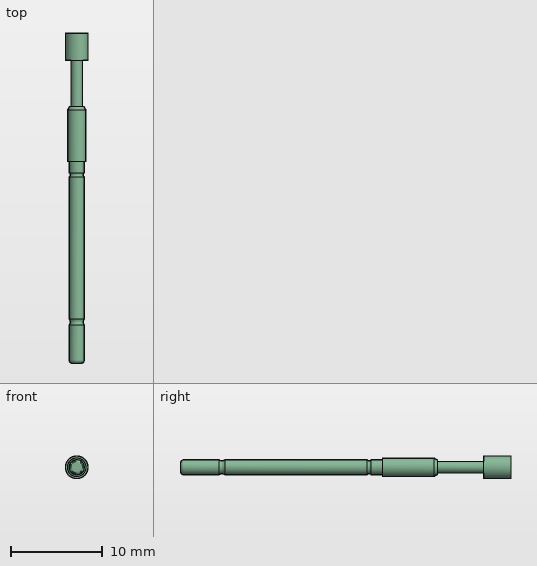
import cadquery as cq

total_length = 36.0
head_diameter = 2.5
head_length = 3.0
stem_diameter = 1.25
collar_diameter = 2.0
collar_start = 8.0
collar_end = 14.0
collar_chamfer_length = 0.4
collar_chamfer_depth = 0.2
barrel_diameter = 1.65
tip_fillet = 0.35

upper_groove = (15.45, 0.45, 0.1)
lower_groove = (31.5, 0.65, 0.1)

head_face_y = total_length / 2


def cylinder(diameter, start, end):
    """Cylinder on the probe axis between two distances from the head face."""
    base = cq.Workplane("XZ", origin=(0, head_face_y - start, 0))
    return base.circle(diameter / 2).extrude(end - start)


def collar():
    """Press ring with a conical lead-in on its head side."""
    body = cylinder(collar_diameter, collar_start, collar_end)
    return body.faces(">Y").chamfer(collar_chamfer_length, collar_chamfer_depth)


def barrel():
    """Barrel with a rounded tip."""
    body = cylinder(barrel_diameter, collar_end, total_length)
    return body.faces("<Y").edges().fillet(tip_fillet)


def groove_cutter(centre, width, depth):
    """Ring with a circular-arc inner side, for rolling a groove into the barrel."""
    y = head_face_y - centre
    barrel_radius = barrel_diameter / 2
    outside = barrel_radius + depth
    return (
        cq.Workplane("XY")
        .moveTo(barrel_radius, y - width / 2)
        .threePointArc((barrel_radius - depth, y), (barrel_radius, y + width / 2))
        .lineTo(outside, y + width / 2)
        .lineTo(outside, y - width / 2)
        .close()
        .revolve(360, (0, 0, 0), (0, 1, 0))
    )


head = cylinder(head_diameter, 0, head_length)
stem = cylinder(stem_diameter, head_length, collar_start)

result = head.union(stem).union(collar()).union(barrel())
for groove in (upper_groove, lower_groove):
    result = result.cut(groove_cutter(*groove))